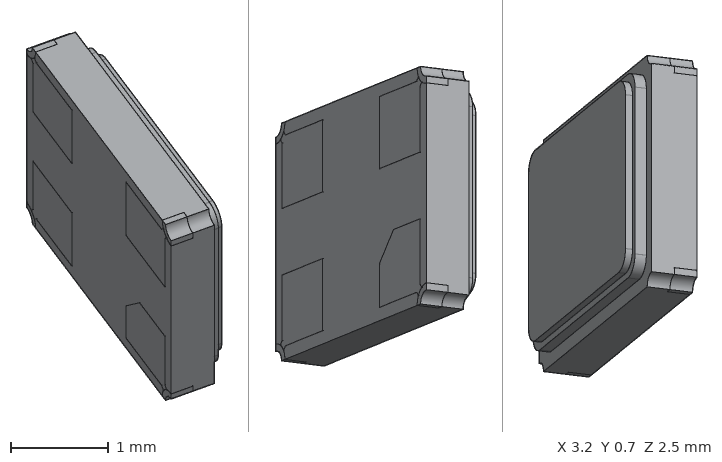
import cadquery as cq
import math


LENGTH = 3.2
HEIGHT = 2.5
TOTAL_DEPTH = 0.7
BASE_DEPTH = 0.5
RIM_DEPTH = 0.125
LID_DEPTH = TOTAL_DEPTH - BASE_DEPTH - RIM_DEPTH
RIM_INSET = 0.15
LID_STEP = 0.07
LID_INSET = RIM_INSET + LID_STEP
STEP_CORNER_RADIUS = 0.2

NOTCH_RADIUS = 0.125
CONTACT_RADIUS = 0.2
CONTACT_DEPTH = BASE_DEPTH / 2

PAD_EDGE_INSET = 0.14
PAD_GAP_X = 1.2
PAD_GAP_Z = 0.7
PAD_LENGTH = (LENGTH - PAD_GAP_X) / 2 - PAD_EDGE_INSET
PAD_HEIGHT = (HEIGHT - PAD_GAP_Z) / 2 - PAD_EDGE_INSET
PAD_DEPTH = 0.032
PAD_CHAMFER = 0.3
NECK_WIDTH = 0.1

CORNERS = [(-1, -1), (-1, 1), (1, -1), (1, 1)]
MARKED_CORNER = (1, -1)


def block(x_size, z_size, y_start, depth, x_center=0, z_center=0):
    """Rectangular block reaching from y_start towards +Y."""
    center = (x_center, y_start + depth / 2, z_center)
    return cq.Workplane("XY").box(x_size, depth, z_size).translate(center)


def corner_cylinder(corner, radius, depth):
    """Cylinder along Y, centred on a corner of the package outline."""
    x_side, z_side = corner
    axis_point = cq.Vector(x_side * LENGTH / 2, 0, z_side * HEIGHT / 2)
    return cq.Workplane(cq.Solid.makeCylinder(radius, depth, axis_point, cq.Vector(0, 1, 0)))


def make_blank():
    """Base plate with notched corners, carrying the stepped rim and lid."""
    base = block(LENGTH, HEIGHT, 0, BASE_DEPTH)
    for corner in CORNERS:
        base = base.cut(corner_cylinder(corner, NOTCH_RADIUS, BASE_DEPTH))
    rim = rounded_step(RIM_INSET, BASE_DEPTH, RIM_DEPTH)
    lid = rounded_step(LID_INSET, BASE_DEPTH + RIM_DEPTH, LID_DEPTH)
    return base.union(rim).union(lid)


def rounded_step(inset, y_start, depth):
    """Step set in from the package outline, with rounded corners."""
    step = block(LENGTH - 2 * inset, HEIGHT - 2 * inset, y_start, depth)
    return step.edges("|Y").fillet(STEP_CORNER_RADIUS)


def make_contact(corner):
    """Quarter ring around one corner notch."""
    ring = corner_cylinder(corner, CONTACT_RADIUS, CONTACT_DEPTH)
    ring = ring.cut(corner_cylinder(corner, NOTCH_RADIUS, CONTACT_DEPTH))
    return ring.intersect(block(LENGTH, HEIGHT, 0, CONTACT_DEPTH))


def make_pad(corner):
    """Rectangular pad with a diagonal neck that reaches its corner contact."""
    x_side, z_side = corner
    x_center = x_side * (PAD_GAP_X + PAD_LENGTH) / 2
    z_center = z_side * (PAD_GAP_Z + PAD_HEIGHT) / 2
    pad = block(PAD_LENGTH, PAD_HEIGHT, 0, PAD_DEPTH, x_center, z_center)
    if corner == MARKED_CORNER:
        pad = pad.edges("|Y and <X").edges(">Z").chamfer(PAD_CHAMFER)
    pad = pad.union(make_neck(corner))
    return pad.cut(corner_cylinder(corner, CONTACT_RADIUS, PAD_DEPTH))


def make_neck(corner):
    """Strip at 45 degrees from the package corner into the pad."""
    x_side, z_side = corner
    reach = 2 * PAD_EDGE_INSET
    middle = reach / 2
    neck = block(math.hypot(reach, reach), NECK_WIDTH, 0, PAD_DEPTH)
    neck = neck.rotate((0, 0, 0), (0, 1, 0), -45 * x_side * z_side)
    return neck.translate((x_side * (LENGTH / 2 - middle), 0, z_side * (HEIGHT / 2 - middle)))


contacts = [make_contact(corner) for corner in CORNERS]
pads = [make_pad(corner) for corner in CORNERS]

package = make_blank()
for insert in contacts + pads:
    package = package.cut(insert)

result = cq.Compound.makeCompound([
    package.solids().val(),
    *[contact.solids().val() for contact in contacts],
    *[pad.solids().val() for pad in pads],
])